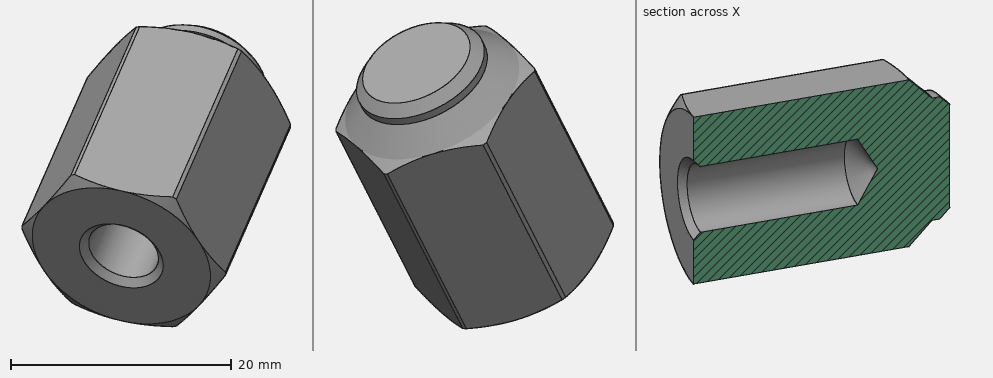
import cadquery as cq
import math

hex_sides = 6
across_flats = 17.0
across_corners = 19.4
hex_length = 21.0
end_bevel_angle = 30.0

nose_diameter = 12.5
nose_length = 4.0
nose_tip_chamfer = 1.0

hole_diameter = 6.65
countersink_diameter = 8.0
hole_depth = 16.0
drill_tip_angle = 120.0

flat_radius = across_flats / 2
corner_radius = across_corners / 2
nose_radius = nose_diameter / 2
hole_radius = hole_diameter / 2
countersink_radius = countersink_diameter / 2
total_length = hex_length + nose_length
bevel_depth = (corner_radius - flat_radius) * math.tan(math.radians(end_bevel_angle))
shoulder_length = flat_radius - nose_radius
countersink_depth = countersink_radius - hole_radius
drill_tip_length = hole_radius / math.tan(math.radians(drill_tip_angle / 2))


def revolve_about_y(profile):
    """Turn a closed list of (radius, y) points about the Y axis."""
    return cq.Workplane("XY").polyline(profile).close().revolve(360, (0, 0, 0), (0, 1, 0))


def make_hex_bar():
    """Hexagonal bar over the full length, with corners on +X and -X."""
    sharp_corner_diameter = across_flats / math.cos(math.radians(180 / hex_sides))
    return cq.Workplane("XZ").polygon(hex_sides, sharp_corner_diameter).extrude(-total_length)


def make_turned_envelope():
    """Round envelope that bevels the hexagon ends and forms the nose."""
    return revolve_about_y([
        (0, 0),
        (flat_radius, 0),
        (corner_radius, bevel_depth),
        (corner_radius, hex_length - bevel_depth),
        (flat_radius, hex_length),
        (nose_radius, hex_length + shoulder_length),
        (nose_radius, total_length - nose_tip_chamfer),
        (nose_radius - nose_tip_chamfer, total_length),
        (0, total_length),
    ])


def make_hole():
    """Countersunk blind hole with a conical drill tip."""
    return revolve_about_y([
        (0, 0),
        (countersink_radius, 0),
        (hole_radius, countersink_depth),
        (hole_radius, hole_depth),
        (0, hole_depth + drill_tip_length),
    ])


result = make_hex_bar().intersect(make_turned_envelope()).cut(make_hole())